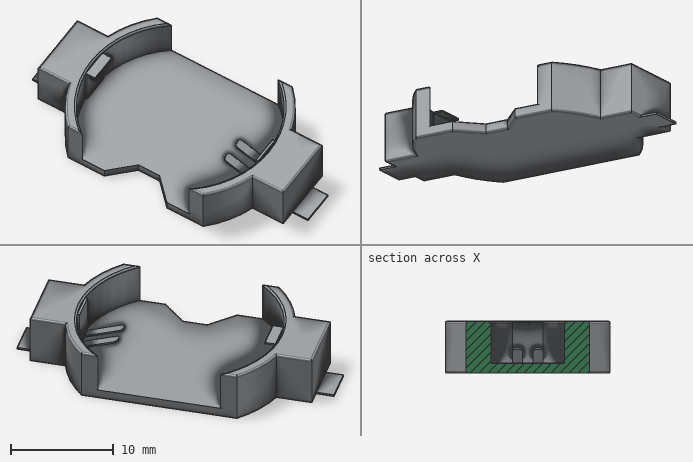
import cadquery as cq
import math

length = 31.85
width = 16.0
height = 5.05
floor_thickness = 1.0
edge_radius = 0.2

outer_radius = 11.18
pocket_radius = 10.1
box_length = 28.35
box_width = 7.0

notch_depth = 2.4
notch_inner_width = 2.45
notch_outer_width = notch_inner_width + 2 * notch_depth

tab_width = 3.57
tab_thickness = 0.2

contact_width = 3.0
contact_thickness = 0.15
contact_back_x = 9.97
contact_top = 4.95
tongue_tip_x = -8.9
finger_root_x = 9.72
finger_tip_x = 5.93
finger_width = 1.0
finger_tip_radius = 0.38
finger_tip_top = 2.5


def box_between(x_min, x_max, y_width, z_min, z_max):
    """Box centred on the X axis in plan."""
    box = cq.Workplane("XY").box(x_max - x_min, y_width, z_max - z_min, centered=(False, True, False))
    return box.translate((x_min, 0, z_min))


def make_body():
    """Flat-sided round holder with end boxes, open pocket, notch and rounded edges."""
    disc = cq.Workplane("XY").circle(outer_radius).extrude(height)
    disc = disc.intersect(box_between(-outer_radius, outer_radius, width, 0, height))
    body = disc.union(box_between(-box_length / 2, box_length / 2, box_width, 0, height))

    pocket = cq.Workplane("XY").workplane(offset=floor_thickness).circle(pocket_radius).extrude(height)
    body = body.cut(pocket)

    notch = (
        cq.Workplane("XY")
        .moveTo(-notch_outer_width / 2, -width / 2)
        .lineTo(-notch_inner_width / 2, -width / 2 + notch_depth)
        .lineTo(notch_inner_width / 2, -width / 2 + notch_depth)
        .lineTo(notch_outer_width / 2, -width / 2)
        .close()
        .extrude(floor_thickness)
    )
    body = body.cut(notch)
    return body.faces(">Z").edges().fillet(edge_radius).faces("<Z").edges().fillet(edge_radius)


def make_tabs():
    """Flat solder tabs reaching out from under both end boxes."""
    tab_start = box_length / 2 - 2 * edge_radius
    right_tab = box_between(tab_start, length / 2, tab_width, 0, tab_thickness)
    return right_tab.union(right_tab.mirror("YZ"))


def make_tongue():
    """Upright plate by the -X wall, bent over the pocket as a flat tongue."""
    foot = floor_thickness - contact_thickness
    plate = box_between(
        -contact_back_x, -contact_back_x + contact_thickness, contact_width, foot, contact_top
    )
    tongue = box_between(
        -contact_back_x, tongue_tip_x, contact_width, contact_top - contact_thickness, contact_top
    )
    return plate.union(tongue)


def make_spring():
    """Upright plate by the +X wall with two round-cornered fingers rising from its foot."""
    foot = floor_thickness - contact_thickness
    spring = box_between(finger_root_x, contact_back_x, contact_width, foot, contact_top)
    root_top = floor_thickness + contact_thickness
    slope = (finger_tip_top - root_top) / (finger_root_x - finger_tip_x)
    vertical_thickness = contact_thickness * math.hypot(1, slope)
    profile = [
        (finger_tip_x, finger_tip_top),
        (finger_root_x, root_top),
        (finger_root_x + contact_thickness, root_top),
        (finger_root_x + contact_thickness, root_top - vertical_thickness),
        (finger_root_x, root_top - vertical_thickness),
        (finger_tip_x, finger_tip_top - vertical_thickness),
    ]
    finger = cq.Workplane("XZ").polyline(profile).close().extrude(finger_width / 2, both=True)
    plan = box_between(finger_tip_x, pocket_radius, finger_width, 0, height)
    finger = finger.intersect(plan.edges("|Z and <X").fillet(finger_tip_radius))
    finger_offset = (contact_width - finger_width) / 2
    for side in (-1, 1):
        spring = spring.union(finger.translate((0, side * finger_offset, 0)))
    return spring


result = make_body().union(make_tabs()).union(make_tongue()).union(make_spring())